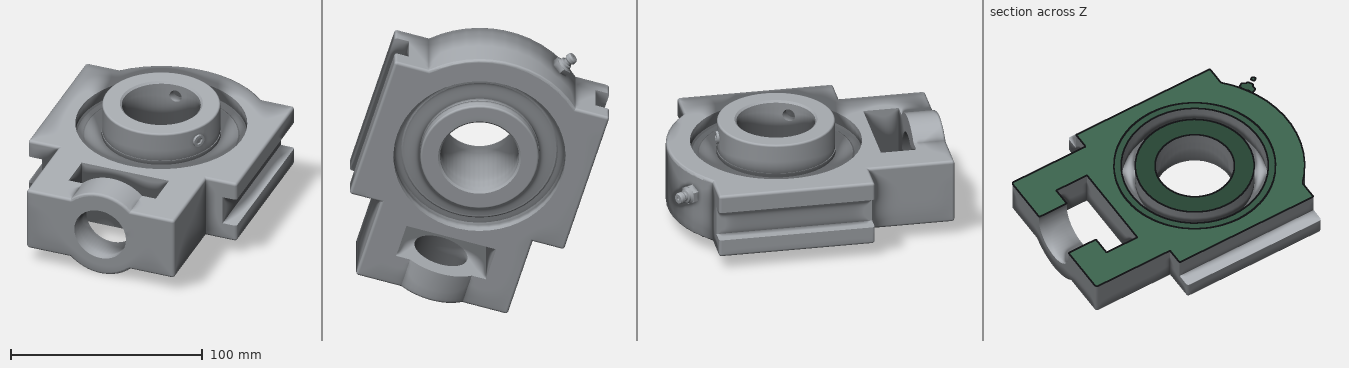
import cadquery as cq
import math


PLATE_WIDTH = 117.0
PLATE_HALF_LENGTH = 41.4
THICKNESS = 35.4
STEM_WIDTH = 82.8
STEM_END_Y = -87.1
CROWN_RADIUS = 57.5
EDGE_RADIUS = 1.5

GUIDE_SLOT_HEIGHT = 16.0
GUIDE_SLOT_DEPTH = 7.8

WINDOW_WIDTH = 48.9
WINDOW_NEAR_Y = -51.1
WINDOW_FAR_Y = -69.9

BOSS_DIAMETER = 48.8
BOSS_HOLE_DIAMETER = 29.0

RECESS_DIAMETER = 89.9
RECESS_CHAMFER = 0.9
SEAT_HALF_WIDTH = 10.5
SEAT_SPHERE_DIAMETER = 84.6

OUTER_RING_HALF_WIDTH = 11.0
OUTER_RING_FACE_DIAMETER = 80.3
OUTER_RING_BORE_DIAMETER = 76.7

SEAL_DIAMETER = 78.7
SEAL_RIM_THICKNESS = 1.5
SEAL_LIP_HEIGHT = 11.7

INNER_RING_TOP = 30.3
INNER_RING_BOTTOM = -19.2
INNER_RING_BORE_DIAMETER = 41.3
INNER_RING_DIAMETER = 61.7
INNER_RING_EDGE = 1.0
COLLAR_DIAMETER = 62.4
COLLAR_HALF_WIDTH = 14.0

SCREW_ANGLES = (90, -30)
SCREW_HEIGHT = 22.5
SCREW_DIAMETER = 6.8
SCREW_OUTER_END = 32.0
SCREW_LENGTH = 6.3
SOCKET_ACROSS_FLATS = 3.5
SOCKET_DEPTH = 1.0

NIPPLE_ANGLE = 120
NIPPLE_HEIGHT = 5.7
NIPPLE_HEX_ACROSS_FLATS = 9.0
NIPPLE_HEX_END = 60.7
NIPPLE_COLLAR_START = 61.5
NIPPLE_COLLAR_DIAMETER = 6.8
NIPPLE_COLLAR_END = 62.5
NIPPLE_NECK_DIAMETER = 4.7
NIPPLE_NECK_START = 62.9
NIPPLE_NECK_END = 64.0
NIPPLE_HEAD_DIAMETER = 6.0
NIPPLE_HEAD_START = 64.9
NIPPLE_HEAD_END = 66.7
NIPPLE_TIP_DIAMETER = 5.0
NIPPLE_TIP = 67.5
GREASE_HOLE_DIAMETER = 1.5
GREASE_HOLE_DEPTH = 1.5

COS_30 = math.cos(math.radians(30))


def sphere_radius_at(height):
    """Radius of the spherical seat at a height above the bearing centre."""
    return math.sqrt((SEAT_SPHERE_DIAMETER / 2) ** 2 - height**2)


def revolve_about_z(profile):
    """Revolve a closed (radius, z) profile drawn on the XZ plane about Z."""
    return profile.close().revolve(360, (0, 0, 0), (0, 1, 0))


def radial_plane(angle, height, distance=0):
    """Plane facing outward from the bearing axis; its local X is horizontal and its local Y is up."""
    a = math.radians(angle)
    return cq.Plane(
        origin=(distance * math.cos(a), distance * math.sin(a), height),
        xDir=(-math.sin(a), math.cos(a), 0),
        normal=(math.cos(a), math.sin(a), 0),
    )


def housing_plate():
    """Slab with a wide slotted part, a narrower stem and a crown round the bearing."""
    half_width = PLATE_WIDTH / 2
    half_stem = STEM_WIDTH / 2
    crown_x = math.sqrt(CROWN_RADIUS**2 - PLATE_HALF_LENGTH**2)
    plate = (
        cq.Workplane("XY", origin=(0, 0, -THICKNESS / 2))
        .moveTo(-half_stem, STEM_END_Y)
        .lineTo(half_stem, STEM_END_Y)
        .lineTo(half_stem, -PLATE_HALF_LENGTH)
        .lineTo(half_width, -PLATE_HALF_LENGTH)
        .lineTo(half_width, PLATE_HALF_LENGTH)
        .lineTo(crown_x, PLATE_HALF_LENGTH)
        .threePointArc((0, CROWN_RADIUS), (-crown_x, PLATE_HALF_LENGTH))
        .lineTo(-half_width, PLATE_HALF_LENGTH)
        .lineTo(-half_width, -PLATE_HALF_LENGTH)
        .lineTo(-half_stem, -PLATE_HALF_LENGTH)
        .close()
        .extrude(THICKNESS)
    )
    plate = plate.edges("|Z and (<X or >X or <Y)").fillet(EDGE_RADIUS)
    return plate.faces("<Z or >Z").edges().fillet(EDGE_RADIUS)


def boss_cylinder(diameter):
    """Cylinder along Y from the stem end to the window."""
    return (
        cq.Workplane("XZ", origin=(0, STEM_END_Y, 0))
        .circle(diameter / 2)
        .extrude(STEM_END_Y - WINDOW_FAR_Y)
    )


def guide_slots():
    """Slots for the guide rails, along both sides of the plate."""
    slots = cq.Workplane("XY").pushPoints([(-PLATE_WIDTH / 2, 0), (PLATE_WIDTH / 2, 0)])
    return slots.box(2 * GUIDE_SLOT_DEPTH, 2 * PLATE_HALF_LENGTH, GUIDE_SLOT_HEIGHT)


def window():
    """Through opening between the bearing and the boss."""
    return cq.Workplane("XY", origin=(0, (WINDOW_NEAR_Y + WINDOW_FAR_Y) / 2, 0)).box(
        WINDOW_WIDTH, WINDOW_NEAR_Y - WINDOW_FAR_Y, THICKNESS
    )


def bearing_opening():
    """Spherical seat with a chamfered recess above and below it."""
    seat_edge = sphere_radius_at(SEAT_HALF_WIDTH)
    recess = RECESS_DIAMETER / 2
    floor = recess - RECESS_CHAMFER
    wall_start = SEAT_HALF_WIDTH + RECESS_CHAMFER
    top = THICKNESS / 2
    return revolve_about_z(
        cq.Workplane("XZ")
        .moveTo(0, -top)
        .lineTo(recess, -top)
        .lineTo(recess, -wall_start)
        .lineTo(floor, -SEAT_HALF_WIDTH)
        .lineTo(seat_edge, -SEAT_HALF_WIDTH)
        .threePointArc((SEAT_SPHERE_DIAMETER / 2, 0), (seat_edge, SEAT_HALF_WIDTH))
        .lineTo(floor, SEAT_HALF_WIDTH)
        .lineTo(recess, wall_start)
        .lineTo(recess, top)
        .lineTo(0, top)
    )


def make_housing():
    """Plate and boss in one casting, with the window, boss hole, guide slots and bearing seat cut out."""
    boss = boss_cylinder(BOSS_DIAMETER).faces("<Y").edges().fillet(EDGE_RADIUS)
    return (
        housing_plate()
        .cut(window())
        .union(boss)
        .cut(boss_cylinder(BOSS_HOLE_DIAMETER))
        .cut(guide_slots())
        .cut(bearing_opening())
    )


def make_outer_ring():
    """Spherical ring with chamfered faces and a shallow recess for a seal at each end."""
    half_width = OUTER_RING_HALF_WIDTH
    shelf = half_width - SEAL_RIM_THICKNESS
    bore = OUTER_RING_BORE_DIAMETER / 2
    seal = SEAL_DIAMETER / 2
    face = OUTER_RING_FACE_DIAMETER / 2
    seat_edge = sphere_radius_at(SEAT_HALF_WIDTH)
    return revolve_about_z(
        cq.Workplane("XZ")
        .moveTo(bore, -shelf)
        .lineTo(seal, -shelf)
        .lineTo(seal, -half_width)
        .lineTo(face, -half_width)
        .lineTo(seat_edge, -SEAT_HALF_WIDTH)
        .threePointArc((SEAT_SPHERE_DIAMETER / 2, 0), (seat_edge, SEAT_HALF_WIDTH))
        .lineTo(face, half_width)
        .lineTo(seal, half_width)
        .lineTo(seal, shelf)
        .lineTo(bore, shelf)
    )


def make_seal(side):
    """Disc that rises slightly toward the inner ring; side is 1 for the top and -1 for the bottom."""
    rim = side * OUTER_RING_HALF_WIDTH
    shelf = side * (OUTER_RING_HALF_WIDTH - SEAL_RIM_THICKNESS)
    lip = side * SEAL_LIP_HEIGHT
    return revolve_about_z(
        cq.Workplane("XZ")
        .moveTo(COLLAR_DIAMETER / 2, shelf)
        .lineTo(SEAL_DIAMETER / 2, shelf)
        .lineTo(SEAL_DIAMETER / 2, rim)
        .lineTo(COLLAR_DIAMETER / 2, lip)
    )


def make_inner_ring():
    """Long sleeve with rounded ends, a wider middle and two radial screw holes."""
    bore_radius = INNER_RING_BORE_DIAMETER / 2
    smallest_circles = cq.selectors.RadiusNthSelector(0)
    largest_circles = cq.selectors.RadiusNthSelector(-1)
    ring = (
        cq.Workplane("XY", origin=(0, 0, INNER_RING_BOTTOM))
        .circle(INNER_RING_DIAMETER / 2)
        .circle(bore_radius)
        .extrude(INNER_RING_TOP - INNER_RING_BOTTOM)
        .edges(smallest_circles)
        .chamfer(INNER_RING_EDGE)
        .edges(largest_circles)
        .fillet(INNER_RING_EDGE)
    )
    collar = (
        cq.Workplane("XY", origin=(0, 0, -COLLAR_HALF_WIDTH))
        .circle(COLLAR_DIAMETER / 2)
        .circle(bore_radius)
        .extrude(2 * COLLAR_HALF_WIDTH)
    )
    ring = ring.union(collar)
    for angle in SCREW_ANGLES:
        hole = cq.Workplane(radial_plane(angle, SCREW_HEIGHT)).circle(SCREW_DIAMETER / 2)
        ring = ring.cut(hole.extrude(INNER_RING_DIAMETER))
    return ring


def make_set_screw(angle):
    """Headless screw that stands slightly proud of the inner ring, with a hexagon socket."""
    outer_end = radial_plane(angle, SCREW_HEIGHT, SCREW_OUTER_END)
    screw = cq.Workplane(outer_end).circle(SCREW_DIAMETER / 2).extrude(-SCREW_LENGTH)
    socket = cq.Workplane(outer_end).polygon(6, SOCKET_ACROSS_FLATS / COS_30).extrude(-SOCKET_DEPTH)
    return screw.cut(socket)


def nipple_outline():
    """Turned shape of the nipple, drawn with the axis outward along local Z."""
    hexagon_corner = NIPPLE_HEX_ACROSS_FLATS / 2 / COS_30
    return (
        cq.Workplane("XZ")
        .moveTo(0, 0)
        .lineTo(hexagon_corner, 0)
        .lineTo(hexagon_corner, NIPPLE_HEX_END)
        .lineTo(NIPPLE_HEX_ACROSS_FLATS / 2, NIPPLE_HEX_END)
        .lineTo(NIPPLE_COLLAR_DIAMETER / 2, NIPPLE_COLLAR_START)
        .lineTo(NIPPLE_COLLAR_DIAMETER / 2, NIPPLE_COLLAR_END)
        .lineTo(NIPPLE_NECK_DIAMETER / 2, NIPPLE_NECK_START)
        .lineTo(NIPPLE_NECK_DIAMETER / 2, NIPPLE_NECK_END)
        .lineTo(NIPPLE_HEAD_DIAMETER / 2, NIPPLE_HEAD_START)
        .lineTo(NIPPLE_HEAD_DIAMETER / 2, NIPPLE_HEAD_END)
        .lineTo(NIPPLE_TIP_DIAMETER / 2, NIPPLE_TIP)
        .lineTo(0, NIPPLE_TIP)
    )


def make_nipple():
    """Nipple with a hexagon that stands on the crown with one corner up."""
    hexagon = (
        cq.Workplane("XY")
        .polygon(6, NIPPLE_HEX_ACROSS_FLATS / COS_30)
        .extrude(NIPPLE_TIP)
        .rotate((0, 0, 0), (0, 0, 1), 30)
    )
    grease_hole = (
        cq.Workplane("XY", origin=(0, 0, NIPPLE_TIP))
        .circle(GREASE_HOLE_DIAMETER / 2)
        .extrude(-GREASE_HOLE_DEPTH)
    )
    nipple = revolve_about_z(nipple_outline()).intersect(hexagon).cut(grease_hole)
    placed = nipple.val().moved(radial_plane(NIPPLE_ANGLE, NIPPLE_HEIGHT).location)
    crown = cq.Workplane("XY").circle(CROWN_RADIUS).extrude(THICKNESS, both=True)
    return cq.Workplane(placed).cut(crown)


housing = make_housing()
outer_ring = make_outer_ring()
inner_ring = make_inner_ring()
seals = [make_seal(side) for side in (1, -1)]
set_screws = [make_set_screw(angle) for angle in SCREW_ANGLES]
nipple = make_nipple()

result = cq.Compound.makeCompound(
    [
        housing.val(),
        outer_ring.val(),
        inner_ring.val(),
        *[seal.val() for seal in seals],
        *[screw.val() for screw in set_screws],
        nipple.val(),
    ]
)